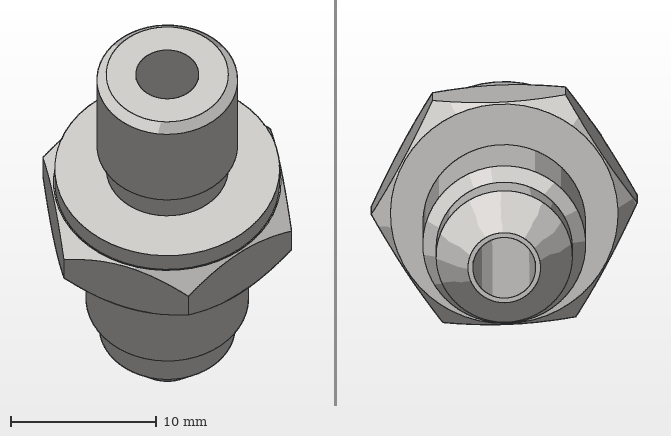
import cadquery as cq
import math

nose_top = 2.93
lower_thread_start = 5.15
lower_thread_end = 11.58
hex_bottom = 14.02
hex_top = 18.7
flange_top = 20.2
upper_neck_top = 22.4
total_height = 30.48

tip_radius = 2.5
lower_neck_radius = 4.7
lower_thread_radius = 5.6
flange_radius = 7.75
upper_neck_radius = 4.2
upper_thread_radius = 4.85
bore_radius = 2.15

thread_top_chamfer_height = 0.58
thread_top_radius = 4.2
thread_base_chamfer_height = 0.35

hex_across_flats = 15.88
hex_across_corners = hex_across_flats / math.cos(math.pi / 6)
hex_chamfer_radius = 7.83


def make_turned_body():
    """Revolve the stepped outline of the fitting around Z."""
    lower_chamfer = lower_thread_radius - lower_neck_radius
    outline = [
        (0, 0),
        (tip_radius, 0),
        (lower_neck_radius, nose_top),
        (lower_neck_radius, lower_thread_start),
        (lower_thread_radius, lower_thread_start + lower_chamfer),
        (lower_thread_radius, lower_thread_end),
        (lower_neck_radius, lower_thread_end + lower_chamfer),
        (lower_neck_radius, hex_bottom),
        (flange_radius, hex_bottom),
        (flange_radius, flange_top),
        (upper_neck_radius, flange_top),
        (upper_neck_radius, upper_neck_top),
        (upper_thread_radius, upper_neck_top + thread_base_chamfer_height),
        (upper_thread_radius, total_height - thread_top_chamfer_height),
        (thread_top_radius, total_height),
        (0, total_height),
    ]
    return cq.Workplane("XZ").polyline(outline).close().revolve(360, (0, 0), (0, 1))


def make_hexagon():
    """Hexagon with both rims turned down by 45 degree cones."""
    prism = (
        cq.Workplane("XY")
        .workplane(offset=hex_bottom)
        .polygon(6, hex_across_corners)
        .extrude(hex_top - hex_bottom)
    )
    corner_radius = hex_across_corners / 2
    chamfer = corner_radius - hex_chamfer_radius
    envelope = (
        cq.Workplane("XY")
        .workplane(offset=hex_bottom)
        .circle(corner_radius)
        .extrude(hex_top - hex_bottom)
        .edges("%CIRCLE")
        .chamfer(chamfer)
    )
    return prism.intersect(envelope)


bore = cq.Workplane("XY").circle(bore_radius).extrude(total_height)
result = make_turned_body().union(make_hexagon()).cut(bore)